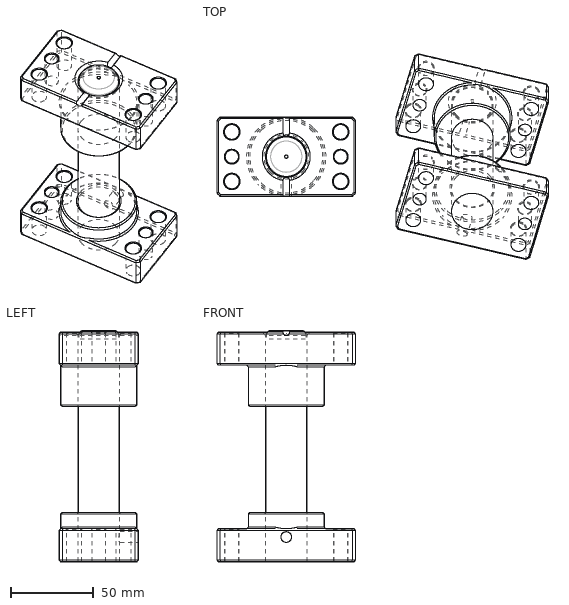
import cadquery as cq

TOTAL_HEIGHT = 140.0

PLATE_LENGTH = 84.0
PLATE_WIDTH = 48.0
PLATE_THICKNESS = 20.0
PLATE_CORNER_CHAMFER = 2.0
EDGE_CHAMFER = 1.0

BOSS_DIAMETER = PLATE_WIDTH - 2 * EDGE_CHAMFER
BASE_BOSS_HEIGHT = 10.0
GUIDE_BOSS_HEIGHT = 25.0
BOSS_ROOT_CHAMFER = 1.0
CHAMFER_ANGLE = 45

PILLAR_DIAMETER = 25.0
NECK_DIAMETER = 24.0
NECK_LENGTH = 5.0
PILLAR_END_RADIUS = 2.5
PILLAR_PROTRUSION = 1.0
CENTRE_MARK_DIAMETER = 2.0
CENTRE_MARK_DEPTH = 1.7

HOLE_SPACING_X = 66.0
HOLE_SPACING_Y = 30.0
SCREW_HOLE_DIAMETER = 9.0
DOWEL_HOLE_DIAMETER = 8.0
HOLE_CHAMFER = 0.5

BASE_BORE_CHAMFER = 1.0
GUIDE_BORE_CHAMFER = 2.0
GROOVE_RADIUS = 2.0
SIDE_HOLE_DIAMETER = 6.5
SIDE_HOLE_DROP = 5.0

BASE_TOP = PLATE_THICKNESS
GUIDE_TOP = TOTAL_HEIGHT - PILLAR_PROTRUSION
GUIDE_BOTTOM = GUIDE_TOP - PLATE_THICKNESS


def make_plate(bottom):
    """Rectangular plate with chamfered corners and rims."""
    outline = cq.Workplane("XY").workplane(offset=bottom).rect(PLATE_LENGTH, PLATE_WIDTH)
    plate = outline.extrude(PLATE_THICKNESS)
    plate = plate.edges("|Z").chamfer(PLATE_CORNER_CHAMFER)
    return plate.faces("<Z or >Z").edges().chamfer(EDGE_CHAMFER)


def make_boss(root, height, direction):
    """Round boss on height `root`, growing up (direction 1) or down (-1), with a conical root."""
    radius = BOSS_DIAMETER / 2
    boss = cq.Workplane("XY").circle(radius).extrude(height)
    boss = boss.faces(">Z").chamfer(EDGE_CHAMFER)

    foot = cq.Workplane("XY").circle(radius + BOSS_ROOT_CHAMFER).extrude(BOSS_ROOT_CHAMFER, taper=CHAMFER_ANGLE)
    flat_length = PLATE_LENGTH - 2 * EDGE_CHAMFER
    flat_width = PLATE_WIDTH - 2 * EDGE_CHAMFER
    rim_limit = cq.Workplane("XY").rect(flat_length, flat_width).extrude(BOSS_ROOT_CHAMFER, taper=CHAMFER_ANGLE)
    boss = boss.union(foot.intersect(rim_limit))

    if direction < 0:
        boss = boss.mirror("XY")
    return boss.translate((0, 0, root))


def make_chamfered_hole(diameter, chamfer, bottom, top):
    """Cutter for a round through hole with a 45 degree chamfer at its upper mouth."""
    radius = diameter / 2
    return (
        cq.Workplane("XZ")
        .moveTo(0, bottom)
        .lineTo(radius, bottom)
        .lineTo(radius, top - chamfer)
        .lineTo(radius + chamfer, top)
        .lineTo(0, top)
        .close()
        .revolve(360, (0, 0, 0), (0, 1, 0))
    )


def cut_plate_holes(block, bottom):
    """Three holes at each end of the plate: two for screws and a dowel hole between them."""
    top = bottom + PLATE_THICKNESS
    for x in (-HOLE_SPACING_X / 2, HOLE_SPACING_X / 2):
        for row in (-1, 0, 1):
            diameter = DOWEL_HOLE_DIAMETER if row == 0 else SCREW_HOLE_DIAMETER
            hole = make_chamfered_hole(diameter, HOLE_CHAMFER, bottom, top)
            block = block.cut(hole.translate((x, row * HOLE_SPACING_Y / 2, 0)))
    return block


def make_base_block():
    """Lower plate with a short boss, the pillar bore and a clamping screw hole."""
    boss_top = BASE_TOP + BASE_BOSS_HEIGHT
    block = make_plate(0).union(make_boss(BASE_TOP, BASE_BOSS_HEIGHT, 1))
    block = cut_plate_holes(block, 0)
    block = block.cut(make_chamfered_hole(PILLAR_DIAMETER, BASE_BORE_CHAMFER, 0, boss_top))
    side_hole = (
        cq.Workplane("XZ")
        .center(0, BASE_TOP - SIDE_HOLE_DROP)
        .circle(SIDE_HOLE_DIAMETER / 2)
        .extrude(PLATE_WIDTH / 2)
    )
    return block.cut(side_hole)


def make_guide_block():
    """Upper plate with a long boss below it, the guide bore and an oil groove across the top."""
    boss_bottom = GUIDE_BOTTOM - GUIDE_BOSS_HEIGHT
    block = make_plate(GUIDE_BOTTOM).union(make_boss(GUIDE_BOTTOM, GUIDE_BOSS_HEIGHT, -1))
    block = cut_plate_holes(block, GUIDE_BOTTOM)
    block = block.cut(make_chamfered_hole(PILLAR_DIAMETER, GUIDE_BORE_CHAMFER, boss_bottom, GUIDE_TOP))
    groove = cq.Workplane("XZ").center(0, GUIDE_TOP).circle(GROOVE_RADIUS).extrude(PLATE_WIDTH / 2, both=True)
    return block.cut(groove)


def make_pillar():
    """Round pillar with a slightly reduced, rounded upper end and a small conical centre mark."""
    pillar = cq.Workplane("XY").circle(PILLAR_DIAMETER / 2).extrude(TOTAL_HEIGHT - NECK_LENGTH)
    pillar = pillar.faces(">Z").workplane().circle(NECK_DIAMETER / 2).extrude(NECK_LENGTH)
    pillar = pillar.faces(">Z").edges().fillet(PILLAR_END_RADIUS)
    centre_mark = (
        cq.Workplane("XZ")
        .moveTo(0, TOTAL_HEIGHT - CENTRE_MARK_DEPTH)
        .lineTo(CENTRE_MARK_DIAMETER / 2, TOTAL_HEIGHT)
        .lineTo(0, TOTAL_HEIGHT)
        .close()
        .revolve(360, (0, 0, 0), (0, 1, 0))
    )
    return pillar.cut(centre_mark)


base_block = make_base_block()
guide_block = make_guide_block()
pillar = make_pillar()

bodies = [base_block, guide_block, pillar]
result = cq.Compound.makeCompound([body.solids().val() for body in bodies])